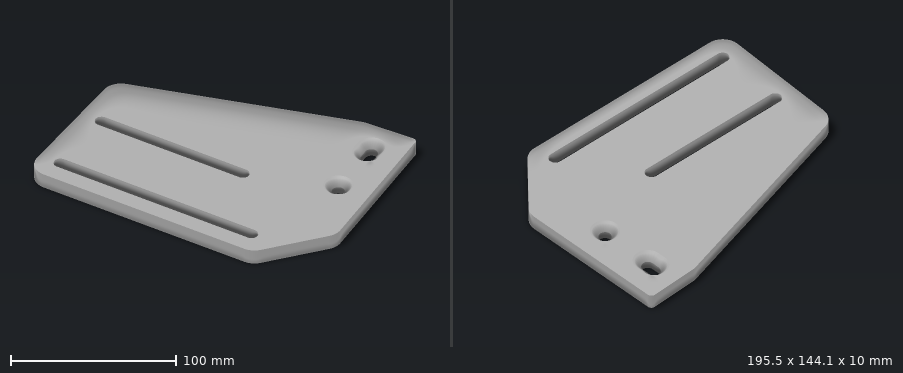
import cadquery as cq
import math

thickness = 10.0
plate_length = 195.5
plate_height = 144.1
corner_radius = 12.0
small_corner_radius = 3.0
tilt = 3.0

corners = [
    (corner_radius, 19.2, corner_radius),
    (153.5, corner_radius, corner_radius),
    (plate_length - corner_radius, 43.6, corner_radius),
    (191.9, plate_height - small_corner_radius, small_corner_radius),
    (159.6, plate_height - corner_radius, corner_radius),
    (16.0, 97.8, corner_radius),
]

slot_width = 8.5
slots = [
    ((17.5, 70.2), 100.0),
    ((14.9, 22.1), 135.2),
]

hole_diameter = 8.2
sink_diameter = 18.4
sink_angle = 90.0
hole_x = 173.5
round_hole_y = 82.3
slotted_hole_y = 122.0
slotted_hole_travel = 5.5
sink_depth = (sink_diameter - hole_diameter) / 2 / math.tan(math.radians(sink_angle / 2))


def edge_normal(start, end):
    """Angle of the outward normal of the edge tangent to two corner arcs."""
    dx = end[0] - start[0]
    dy = end[1] - start[1]
    return math.atan2(dy, dx) - math.acos((start[2] - end[2]) / math.hypot(dx, dy))


def arc_point(corner, angle):
    x, y, radius = corner
    return (x + radius * math.cos(angle), y + radius * math.sin(angle))


def make_plate():
    count = len(corners)
    normals = [edge_normal(corners[i], corners[(i + 1) % count]) for i in range(count)]
    outline = cq.Workplane("XY").moveTo(*arc_point(corners[0], normals[0]))
    for i in range(1, count + 1):
        corner = corners[i % count]
        arrive = normals[i - 1]
        turn = (normals[i % count] - arrive) % (2 * math.pi)
        outline = outline.lineTo(*arc_point(corner, arrive))
        outline = outline.threePointArc(
            arc_point(corner, arrive + turn / 2), arc_point(corner, arrive + turn)
        )
    return outline.close().extrude(thickness)


def make_slot_cutter(left_end, centre_distance):
    return (
        cq.Workplane("XY")
        .center(*left_end)
        .transformed(rotate=(0, 0, -tilt))
        .center(centre_distance / 2, 0)
        .slot2D(centre_distance + slot_width, slot_width)
        .extrude(thickness)
    )


def make_countersunk_hole(y):
    top = cq.Workplane("XY", origin=(hole_x, y, thickness))
    bore = top.circle(hole_diameter / 2).extrude(-thickness)
    sink = top.circle(sink_diameter / 2).extrude(-sink_depth, taper=sink_angle / 2)
    return bore.union(sink)


def make_countersunk_slot(y):
    half_travel = slotted_hole_travel / 2
    top = cq.Workplane("XY", origin=(hole_x, y, thickness))
    bore = top.rect(hole_diameter, slotted_hole_travel).extrude(-thickness)
    profile = [
        (-sink_diameter / 2, 0),
        (sink_diameter / 2, 0),
        (hole_diameter / 2, -sink_depth),
        (-hole_diameter / 2, -sink_depth),
    ]
    sink = (
        cq.Workplane("XZ", origin=(hole_x, y + half_travel, thickness))
        .polyline(profile)
        .close()
        .extrude(slotted_hole_travel)
    )
    cutter = bore.union(sink)
    for side in (-1, 1):
        cutter = cutter.union(make_countersunk_hole(y + side * half_travel))
    return cutter


result = make_plate()
for left_end, centre_distance in slots:
    result = result.cut(make_slot_cutter(left_end, centre_distance))
result = result.cut(make_countersunk_hole(round_hole_y))
result = result.cut(make_countersunk_slot(slotted_hole_y))